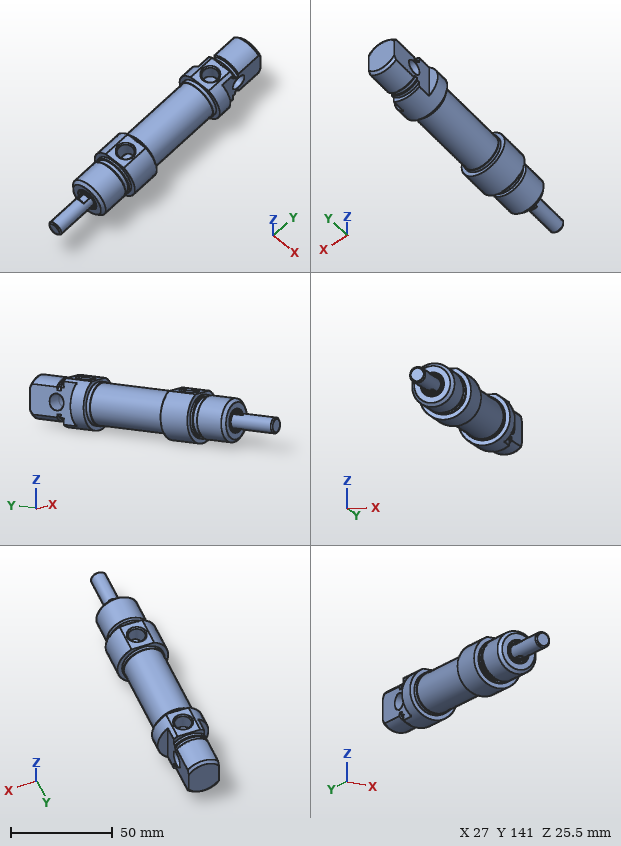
import cadquery as cq
import math

LENGTH = 141.0

ROD_D = 8.0
TUBE_D = 21.3
TUBE_BORE_D = 19.7
COLLAR_D = 22.1
NOSE_D = 22.0
GROOVE_D = 20.0
HEAD_D = 27.0
PORT_D = 8.6
RECESS_MOUTH_D = 12.1
RECESS_D = 11.4
LIP_D = 9.5
LIP_BORE_D = 8.6
PIVOT_D = 8.5

ROD_FLAT_START = 19.2
ROD_FLAT_END = 23.4
NOSE_START = 23.7
NOSE_END = 40.5
FRONT_GROOVE_END = 42.6
FRONT_HEAD_START = 43.9
FRONT_HEAD_END = 59.8
TUBE_START = 61.3
TUBE_END = 103.4
REAR_HEAD_START = 105.5
TONGUE_START = 113.2
REAR_HEAD_END = 121.0
REAR_GROOVE_START = 122.5
REAR_GROOVE_END = 124.9

NOSE_CHAMFER = 1.7
REAR_CHAMFER = 1.4
FRONT_GROOVE_SLOPE = 0.8
REAR_GROOVE_SLOPE = 0.3
ROD_CHAMFER = 0.7
PORT_CHAMFER = 0.7
OVERALL_HEIGHT = 25.5
FLAT_Z = OVERALL_HEIGHT - HEAD_D / 2
ROD_FLATS = 7.0
TONGUE_WIDTH = 16.1
RECESS_MOUTH_DEPTH = 0.3
RECESS_DEPTH = 1.4
LIP_DROP = 0.4
PIVOT_Y = 125.0
FRONT_PORT_Y = 51.7
REAR_PORT_Y = 113.2
REAR_PORT_DEPTH = 8.5
DRILL_TIP_ANGLE = 118.0


def turned(profile):
    """Solid of revolution about the Y axis from (radius, y) points."""
    return cq.Workplane("XY").polyline(profile).close().revolve(360, (0, 0, 0), (0, 1, 0))


def cylinder(diameter, start, end):
    """Cylinder on the Y axis between two stations."""
    return cq.Workplane("XZ", origin=(0, start, 0)).circle(diameter / 2).extrude(start - end)


def head_block(start, end):
    """Large round head with its port flat on top."""
    height = FLAT_Z + HEAD_D / 2
    keep = cq.Workplane("XY").box(HEAD_D, end - start, height, centered=(True, False, False))
    return cylinder(HEAD_D, start, end).intersect(keep.translate((0, start, -HEAD_D / 2)))


def port_cutter(y, depth, tip_length):
    """Drill with a countersink at the port flat and an optional conical tip."""
    radius = PORT_D / 2
    bottom = FLAT_Z - depth
    profile = [
        (0, FLAT_Z),
        (radius + PORT_CHAMFER, FLAT_Z),
        (radius, FLAT_Z - PORT_CHAMFER),
        (radius, bottom),
        (0, bottom - tip_length),
    ]
    drill = cq.Workplane("XZ").polyline(profile).close().revolve(360, (0, 0, 0), (0, 1, 0))
    return drill.translate((0, y, 0))


def make_rod():
    """Piston rod with a chamfered tip and two wrench flats at the nose."""
    rod = cylinder(ROD_D, 0, FRONT_HEAD_END).faces("<Y").chamfer(ROD_CHAMFER)
    flat_length = ROD_FLAT_END - ROD_FLAT_START
    for side in (1, -1):
        cutter = cq.Workplane("XY").box(ROD_D, flat_length, ROD_D, centered=(True, False, True))
        rod = rod.cut(cutter.translate((0, ROD_FLAT_START, side * (ROD_FLATS + ROD_D) / 2)))
    return rod


def make_front_head():
    """Front head: threaded nose, groove, port block and tube collar, bored for the rod."""
    nose_r = NOSE_D / 2
    groove_r = GROOVE_D / 2
    nose = turned([
        (0, NOSE_START),
        (nose_r - NOSE_CHAMFER, NOSE_START),
        (nose_r, NOSE_START + NOSE_CHAMFER),
        (nose_r, NOSE_END - FRONT_GROOVE_SLOPE),
        (groove_r, NOSE_END),
        (groove_r, FRONT_GROOVE_END),
        (nose_r, FRONT_GROOVE_END),
        (nose_r, FRONT_HEAD_START),
        (0, FRONT_HEAD_START),
    ])
    head = nose.union(head_block(FRONT_HEAD_START, FRONT_HEAD_END))
    head = head.union(cylinder(COLLAR_D, FRONT_HEAD_END, TUBE_START))
    head = head.cut(cylinder(ROD_D, NOSE_START, TUBE_START))
    recess_floor = NOSE_START + RECESS_DEPTH
    head = head.cut(cylinder(RECESS_MOUTH_D, NOSE_START, NOSE_START + RECESS_MOUTH_DEPTH))
    lip = cylinder(LIP_D, NOSE_START + LIP_DROP, recess_floor)
    head = head.cut(cylinder(RECESS_D, NOSE_START, recess_floor).cut(lip))
    head = head.cut(cylinder(LIP_BORE_D, NOSE_START, recess_floor))
    return head.cut(port_cutter(FRONT_PORT_Y, FLAT_Z, 0))


def make_tube():
    """Plain barrel between the two heads."""
    return cylinder(TUBE_D, TUBE_START, TUBE_END).cut(cylinder(TUBE_BORE_D, TUBE_START, TUBE_END))


def make_rear_head():
    """Rear head: collar, port block and grooved neck, flattened to a tongue with a pivot hole."""
    neck_r = COLLAR_D / 2
    groove_r = GROOVE_D / 2
    neck = turned([
        (0, REAR_HEAD_END),
        (neck_r, REAR_HEAD_END),
        (neck_r, REAR_GROOVE_START),
        (groove_r, REAR_GROOVE_START),
        (groove_r, REAR_GROOVE_END - REAR_GROOVE_SLOPE),
        (neck_r, REAR_GROOVE_END),
        (neck_r, LENGTH - REAR_CHAMFER),
        (neck_r - REAR_CHAMFER, LENGTH),
        (0, LENGTH),
    ])
    head = cylinder(COLLAR_D, TUBE_END, REAR_HEAD_START)
    head = head.union(head_block(REAR_HEAD_START, REAR_HEAD_END)).union(neck)

    tongue_length = LENGTH - TONGUE_START
    for side in (1, -1):
        cheek = cq.Workplane("XY").box(HEAD_D, tongue_length, 2 * HEAD_D, centered=(True, False, True))
        head = head.cut(cheek.translate((side * (TONGUE_WIDTH + HEAD_D) / 2, TONGUE_START, 0)))

    pivot = cq.Workplane("YZ").center(PIVOT_Y, 0).circle(PIVOT_D / 2).extrude(HEAD_D / 2, both=True)
    tip_length = PORT_D / 2 / math.tan(math.radians(DRILL_TIP_ANGLE / 2))
    return head.cut(pivot).cut(port_cutter(REAR_PORT_Y, REAR_PORT_DEPTH, tip_length))


rod = make_rod()
front_head = make_front_head()
tube = make_tube()
rear_head = make_rear_head()

result = cq.Compound.makeCompound([rod.val(), front_head.val(), tube.val(), rear_head.val()])